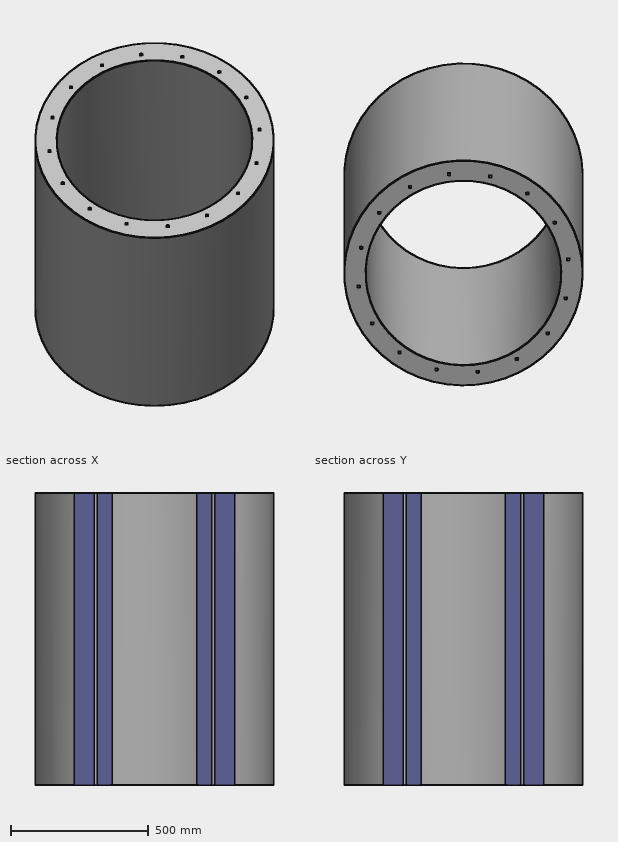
import cadquery as cq

height = 1065.0
outer_diameter = 870.0
bore_diameter = 710.0
edge_chamfer = 2.0

hole_count = 16
hole_diameter = 10.0
hole_circle_diameter = 770.0
hole_spacing = 360 / hole_count


def make_tube():
    """Tube with all four rim edges chamfered."""
    tube = (
        cq.Workplane("XY")
        .circle(outer_diameter / 2)
        .circle(bore_diameter / 2)
        .extrude(height)
    )
    return tube.faces("<Z or >Z").edges().chamfer(edge_chamfer)


def make_holes():
    """Cutters for the holes, running the full height of the wall."""
    return (
        cq.Workplane("XY", origin=(0, 0, height))
        .polarArray(hole_circle_diameter / 2, hole_spacing / 2, 360, hole_count)
        .circle(hole_diameter / 2)
        .extrude(-height)
    )


result = make_tube().cut(make_holes())